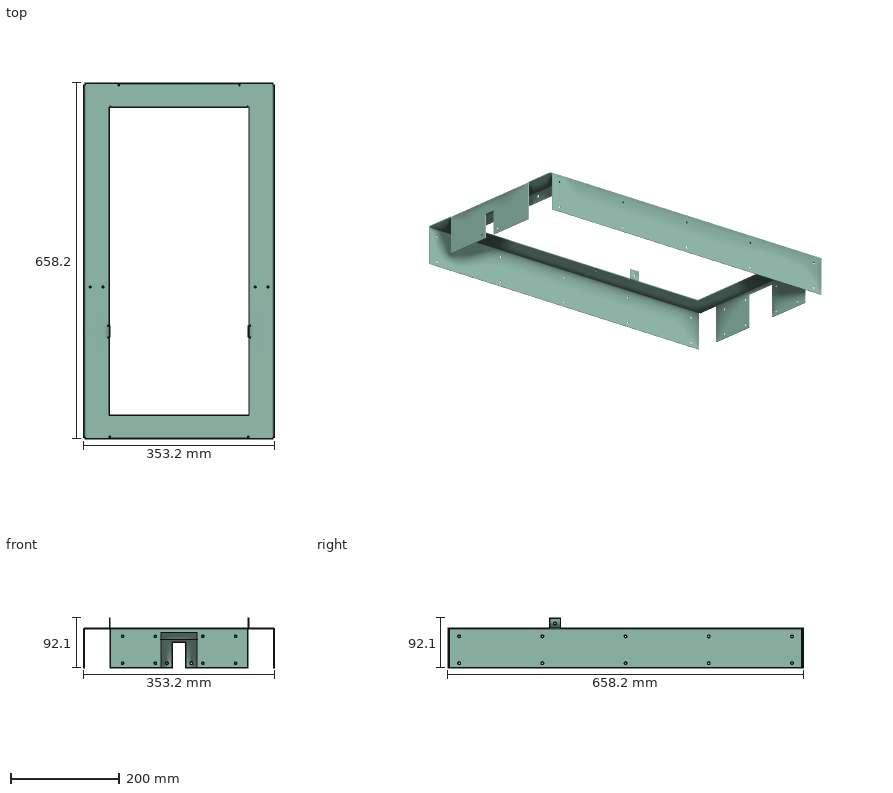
import cadquery as cq
import math

LENGTH_X = 353.18
LENGTH_Y = 658.21
HEIGHT = 92.06

SHEET = 1.5
BEND_INNER_RADIUS = 1.0
BEND = BEND_INNER_RADIUS + SHEET

TAB_RISE = 18.4
PLATE_TOP = HEIGHT - TAB_RISE
HALF_X = LENGTH_X / 2
HALF_Y = LENGTH_Y / 2
WALL_SETBACK = 3.0

OPENING_HALF_X = 129.0
OPENING_HALF_Y = 285.0
TAB_BEND_X = 130.0
INNER_BEND_Y = 286.5
RELIEF_WIDTH = 1.5
RELIEF_DEPTH = 2.0

FRONT_HALF_WIDTH = 127.5
FRONT_NOTCH_HALF_WIDTH = 33.5
FRONT_NOTCH_TOP = 66.0
BACK_HALF_WIDTH = 111.0
BACK_SLOT_HALF_WIDTH = 12.2
BACK_SLOT_TOP = 47.5
INNER_FLANGE_HALF_WIDTH = 126.0
INNER_FLANGE_CLEARANCE = 1.0
INNER_FLANGE_HEIGHT = 21.0
TAB_WIDTH = 20.5
TAB_Y = -130.5

SKIRT_HOLE = 4.5
INNER_FLANGE_HOLE = 6.5
PLATE_HOLE = 3.0
TAB_HOLE = 4.5
HOLE_ROWS_Z = (8.8, 58.5)
SIDE_HOLE_PITCH = 154.0
SIDE_HOLE_COUNT = 5
FRONT_HOLES_X = (44.0, 104.5)
BACK_HOLE_X = 22.5
INNER_FLANGE_HOLE_X = 87.0
INNER_FLANGE_HOLE_DROP = 9.5
PLATE_HOLES_X = (141.0, 164.5)
PLATE_HOLES_Y = -48.0
TAB_HOLE_Z = 82.0
CUT_DEPTH = 10.0


def box(x0, x1, y0, y1, z0, z1):
    """Axis-aligned box between two opposite corners."""
    return cq.Workplane("XY").box(x1 - x0, y1 - y0, z1 - z0, centered=False).translate((x0, y0, z0))


def bent_flange(width, drop):
    """Flange folded down from a plate edge.

    The plate edge lies on the X axis with the plate top at Z = 0; the bend and
    flange lie on the +Y side, and the outer face of the flange is at Y = BEND.
    """
    diagonal = math.sqrt(0.5)
    outer_mid = (BEND * diagonal, BEND * diagonal - BEND)
    inner_mid = (BEND_INNER_RADIUS * diagonal, BEND_INNER_RADIUS * diagonal - BEND)
    profile = (
        cq.Workplane("YZ")
        .moveTo(0, 0)
        .threePointArc(outer_mid, (BEND, -BEND))
        .lineTo(BEND, -drop)
        .lineTo(BEND_INNER_RADIUS, -drop)
        .lineTo(BEND_INNER_RADIUS, -BEND)
        .threePointArc(inner_mid, (0, -SHEET))
        .close()
    )
    return profile.extrude(width / 2, both=True)


def hole(diameter, centre, axis):
    """Cylinder for a hole through one sheet, centred on the given point."""
    start = cq.Vector(*centre) - cq.Vector(*axis) * (CUT_DEPTH / 2)
    return cq.Workplane(cq.Solid.makeCylinder(diameter / 2, CUT_DEPTH, start, cq.Vector(*axis)))


def both_sides(shape):
    """The shape together with its mirror image across X = 0."""
    return shape.union(shape.mirror("YZ"))


def relief(x_edge, y_edge, y_direction):
    """Slot cut into the plate beside the end of an end flange."""
    y_inner = y_edge - y_direction * RELIEF_DEPTH
    y_outer = y_edge + y_direction * BEND
    y_low = min(y_inner, y_outer)
    y_high = max(y_inner, y_outer)
    return both_sides(box(x_edge, x_edge + RELIEF_WIDTH, y_low, y_high, PLATE_TOP - SHEET, PLATE_TOP))


def top_plate():
    bend_y = HALF_Y - BEND
    side_x = HALF_X - BEND
    bottom = PLATE_TOP - SHEET
    plate = box(-side_x, side_x, -HALF_Y, HALF_Y, bottom, PLATE_TOP)
    plate = plate.cut(
        box(-OPENING_HALF_X, OPENING_HALF_X, -OPENING_HALF_Y, OPENING_HALF_Y, bottom, PLATE_TOP)
    )

    notch_x = INNER_FLANGE_HALF_WIDTH + INNER_FLANGE_CLEARANCE
    plate = plate.cut(box(-notch_x, notch_x, 0, INNER_BEND_Y, bottom, PLATE_TOP))
    tab_start = TAB_Y - TAB_WIDTH / 2
    tab_end = TAB_Y + TAB_WIDTH / 2
    plate = plate.cut(box(-TAB_BEND_X, TAB_BEND_X, tab_start, tab_end, bottom, PLATE_TOP))

    for half_width, direction in ((FRONT_HALF_WIDTH, -1), (BACK_HALF_WIDTH, 1)):
        strip = box(-half_width, half_width, bend_y, HALF_Y, bottom, PLATE_TOP)
        if direction < 0:
            strip = strip.mirror("XZ")
        plate = plate.cut(strip)
        plate = plate.cut(relief(half_width, direction * bend_y, direction))

    slot_end_x = TAB_BEND_X + RELIEF_DEPTH
    for slot_start in (tab_start - RELIEF_WIDTH, tab_end):
        slot = box(OPENING_HALF_X, slot_end_x, slot_start, slot_start + RELIEF_WIDTH, bottom, PLATE_TOP)
        plate = plate.cut(both_sides(slot))

    for x in PLATE_HOLES_X:
        plate = plate.cut(both_sides(hole(PLATE_HOLE, (x, PLATE_HOLES_Y, PLATE_TOP), (0, 0, 1))))
    return plate


def side_walls():
    wall = bent_flange(LENGTH_Y - 2 * WALL_SETBACK, PLATE_TOP)
    wall = wall.rotate((0, 0, 0), (0, 0, 1), -90).translate((HALF_X - BEND, 0, PLATE_TOP))
    first_y = -SIDE_HOLE_PITCH * (SIDE_HOLE_COUNT - 1) / 2
    for index in range(SIDE_HOLE_COUNT):
        for z in HOLE_ROWS_Z:
            wall = wall.cut(hole(SKIRT_HOLE, (HALF_X, first_y + index * SIDE_HOLE_PITCH, z), (1, 0, 0)))
    return both_sides(wall)


def front_flange():
    flange = bent_flange(2 * FRONT_HALF_WIDTH, PLATE_TOP).mirror("XZ")
    flange = flange.translate((0, BEND - HALF_Y, PLATE_TOP))
    flange = flange.cut(
        box(-FRONT_NOTCH_HALF_WIDTH, FRONT_NOTCH_HALF_WIDTH, -HALF_Y, BEND - HALF_Y, 0, FRONT_NOTCH_TOP)
    )
    for x in FRONT_HOLES_X:
        for z in HOLE_ROWS_Z:
            flange = flange.cut(both_sides(hole(SKIRT_HOLE, (x, -HALF_Y, z), (0, 1, 0))))
    return flange


def back_flange():
    flange = bent_flange(2 * BACK_HALF_WIDTH, PLATE_TOP).translate((0, HALF_Y - BEND, PLATE_TOP))
    flange = flange.cut(
        box(-BACK_SLOT_HALF_WIDTH, BACK_SLOT_HALF_WIDTH, HALF_Y - BEND, HALF_Y, 0, BACK_SLOT_TOP)
    )
    return flange.cut(both_sides(hole(SKIRT_HOLE, (BACK_HOLE_X, HALF_Y, HOLE_ROWS_Z[0]), (0, 1, 0))))


def inner_flange():
    """Short flange folded down from the back edge of the opening."""
    flange = bent_flange(2 * INNER_FLANGE_HALF_WIDTH, INNER_FLANGE_HEIGHT).mirror("XZ")
    flange = flange.translate((0, INNER_BEND_Y, PLATE_TOP))
    centre = (INNER_FLANGE_HOLE_X, INNER_BEND_Y - BEND, PLATE_TOP - INNER_FLANGE_HOLE_DROP)
    return flange.cut(both_sides(hole(INNER_FLANGE_HOLE, centre, (0, 1, 0))))


def tabs():
    """Two tabs folded up from the long edges of the opening."""
    tab = bent_flange(TAB_WIDTH, TAB_RISE + SHEET).mirror("XY").rotate((0, 0, 0), (0, 0, 1), 90)
    tab = tab.translate((TAB_BEND_X, TAB_Y, PLATE_TOP - SHEET))
    tab = tab.cut(hole(TAB_HOLE, (TAB_BEND_X - BEND, TAB_Y, TAB_HOLE_Z), (1, 0, 0)))
    return both_sides(tab)


result = top_plate()
for folded_part in (side_walls(), front_flange(), back_flange(), inner_flange(), tabs()):
    result = result.union(folded_part)